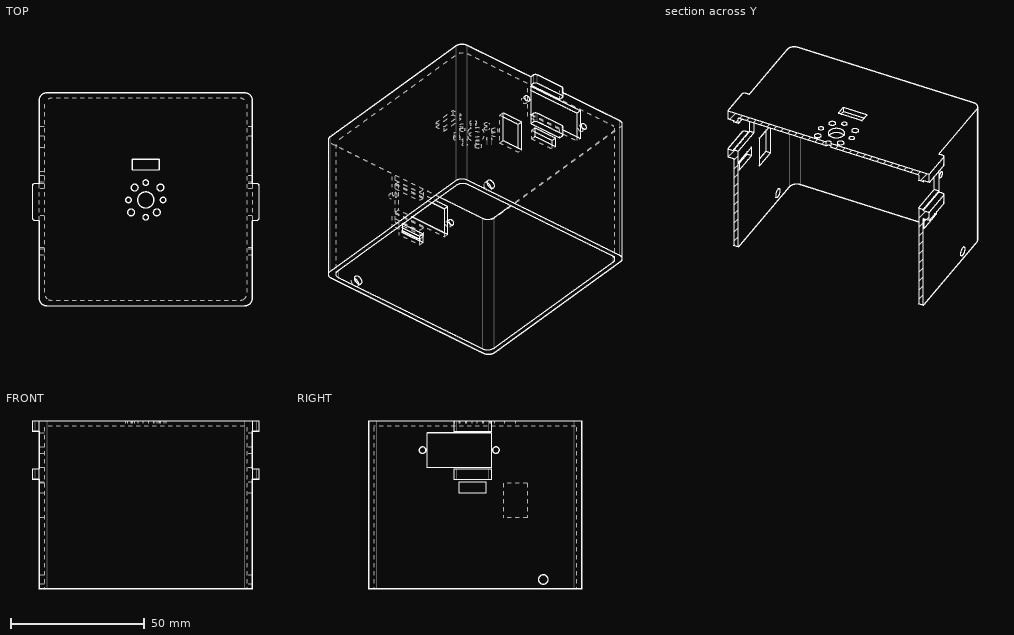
import cadquery as cq

box_side = 80.0
height = 63.0
corner_radius = 3.0
wall = 2.0

overall_x = 85.0
tab_projection = (overall_x - box_side) / 2
tab_width = 14.0
tab_height = 4.0
tab_center_y = -1.0
tab_corner_radius = 1.0
tab_top_depths = (0.0, 18.0)

window_width = 24.0
window_height = 13.0
window_center_y = -6.0
window_center_z = height - 11.0
servo_screw_dia = 2.4
servo_screw_spacing = 27.5

slot_length = 10.0
slot_width = 4.0
side_slot_center_z = height - 25.0
top_slot_center_y = 13.0

switch_width = 9.0
switch_height = 13.0
switch_center_y = 15.0
switch_center_z = height - 29.8

cross_hole_dia = 3.5
cross_hole_y = 25.5
cross_hole_z = 3.5

pattern_center_y = -0.25
shaft_hole_dia = 6.0
small_hole_dia = 2.0
small_hole_radius = 6.5
mount_hole_dia = 2.5
mount_hole_y = 4.65
near_mount_hole_x = 4.15
far_mount_hole_x = 5.5


def make_shell():
    outer = cq.Workplane("XY").box(box_side, box_side, height, centered=(True, True, False))
    outer = outer.edges("|Z").fillet(corner_radius)
    cavity_side = box_side - 2 * wall
    cavity = cq.Workplane("XY").box(cavity_side, cavity_side, height - wall, centered=(True, True, False))
    cavity = cavity.edges("|Z").fillet(corner_radius)
    return outer.cut(cavity)


def make_tab(side, top_depth):
    """Tab on the X side given by side (+1 or -1), rooted in the wall thickness."""
    length = tab_projection + wall
    tab = cq.Workplane("XY").box(length, tab_width, tab_height)
    outer_edges = "|Z and >X" if side > 0 else "|Z and <X"
    tab = tab.edges(outer_edges).fillet(tab_corner_radius)
    center_x = side * (overall_x - length) / 2
    center_z = height - top_depth - tab_height / 2
    return tab.translate((center_x, tab_center_y, center_z))


def cross_block(width, block_height, center_y, center_z):
    """Rectangular cutter along X through both X walls."""
    return cq.Workplane("XY").box(overall_x, width, block_height).translate((0, center_y, center_z))


def cross_cylinder(diameter, center_y, center_z):
    """Round cutter along X through both X walls."""
    cylinder = cq.Workplane("YZ").circle(diameter / 2).extrude(overall_x / 2, both=True)
    return cylinder.translate((0, center_y, center_z))


def cut_servo_windows(body):
    body = body.cut(cross_block(window_width, window_height, window_center_y, window_center_z))
    for side in (-1, 1):
        screw_y = window_center_y + side * servo_screw_spacing / 2
        body = body.cut(cross_cylinder(servo_screw_dia, screw_y, window_center_z))
    return body


def cut_switch_opening(body):
    opening = cq.Workplane("XY").box(2 * wall, switch_width, switch_height)
    return body.cut(opening.translate((-box_side / 2 + wall / 2, switch_center_y, switch_center_z)))


def cut_top_openings(body):
    small_holes = [
        (small_hole_radius, 0),
        (-small_hole_radius, 0),
        (0, small_hole_radius),
        (0, -small_hole_radius),
    ]
    mount_holes = [
        (far_mount_hole_x, mount_hole_y),
        (-near_mount_hole_x, mount_hole_y),
        (-far_mount_hole_x, -mount_hole_y),
        (near_mount_hole_x, -mount_hole_y),
    ]
    cavity_roof = cq.Workplane("XY").workplane(offset=height - wall)
    pattern_plane = cavity_roof.center(0, pattern_center_y)
    cutters = [
        pattern_plane.circle(shaft_hole_dia / 2).extrude(wall),
        pattern_plane.pushPoints(small_holes).circle(small_hole_dia / 2).extrude(wall),
        pattern_plane.pushPoints(mount_holes).circle(mount_hole_dia / 2).extrude(wall),
        cavity_roof.center(0, top_slot_center_y).rect(slot_length, slot_width).extrude(wall),
    ]
    for cutter in cutters:
        body = body.cut(cutter)
    return body


result = make_shell()
for x_side in (-1, 1):
    for depth in tab_top_depths:
        result = result.union(make_tab(x_side, depth))
result = cut_servo_windows(result)
result = result.cut(cross_block(slot_length, slot_width, tab_center_y, side_slot_center_z))
result = result.cut(cross_cylinder(cross_hole_dia, cross_hole_y, cross_hole_z))
result = cut_switch_opening(result)
result = cut_top_openings(result)